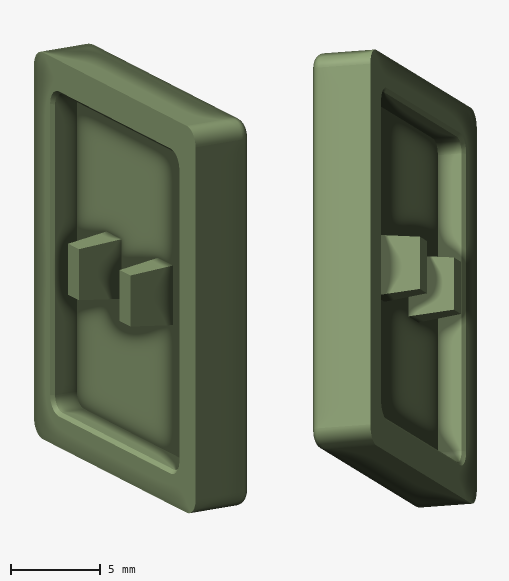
import cadquery as cq

width = 18.0
total_depth = 4.5
height = 22.5

peg_protrusion = 1.0
plate_depth = total_depth - peg_protrusion
corner_radius = 1.0
back_edge_radius = 0.5

rim_width = 1.8
mouth_chamfer = 0.2
recess_depth = 1.6
recess_corner_radius = 0.79
recess_width = width - 2 * (rim_width + mouth_chamfer)
recess_height = height - 2 * (rim_width + mouth_chamfer)

peg_spacing = 5.74
peg_tip_width = 1.2
peg_tip_height = 2.97
peg_base_growth = 0.5
peg_length = recess_depth + peg_protrusion


def xz_plane(y):
    """Plane parallel to XZ at the given Y, with its normal toward -Y."""
    return cq.Workplane("XZ", origin=(0, y, 0))


def make_plate():
    """Rounded plate with its front face at Y = 0 and a rounded back edge."""
    plate = xz_plane(plate_depth).rect(width, height).extrude(plate_depth)
    plate = plate.edges("|Y").fillet(corner_radius)
    return plate.faces(">Y").edges().fillet(back_edge_radius)


def make_recess():
    """Rounded pocket volume, open at the front face."""
    pocket = xz_plane(recess_depth).rect(recess_width, recess_height).extrude(recess_depth)
    return pocket.edges("|Y").fillet(recess_corner_radius)


def make_peg(x):
    """Peg narrowing from the recess floor to its tip in front of the plate."""
    return (
        xz_plane(recess_depth)
        .center(x, 0)
        .rect(peg_tip_width + peg_base_growth, peg_tip_height + peg_base_growth)
        .workplane(offset=peg_length)
        .rect(peg_tip_width, peg_tip_height)
        .loft(combine=True)
    )


result = make_plate().cut(make_recess())

front_rim = result.faces("<Y").val()
result = result.newObject(front_rim.innerWires()[0].Edges()).chamfer(mouth_chamfer)

for side in (-1, 1):
    result = result.union(make_peg(side * peg_spacing / 2))